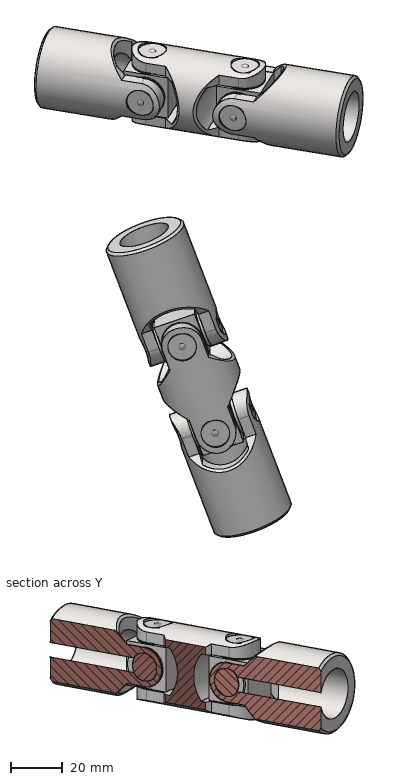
import cadquery as cq
import math

total_length = 124.0
body_diameter = 32.0
joint_offset = 18.8
ear_width = 16.0
ear_gap = 19.0
swing_diameter = 30.0
bore_diameter = 20.0
end_chamfer = 1.0
block_width = 16.6
block_depth = 18.0
boss_diameter = 15.5
pin_diameter = 11.0
pin_length = 30.0
dome_diameter = 2.6
dome_height = 0.2

half_length = total_length / 2
body_radius = body_diameter / 2
ear_radius = ear_width / 2
dome_radius = dome_diameter / 2
dome_sphere_radius = (dome_radius ** 2 + dome_height ** 2) / (2 * dome_height)
shoulder_run = body_radius - ear_radius


def x_cylinder(diameter, x_start, x_end):
    """Cylinder on the X axis between two X positions."""
    return cq.Workplane("YZ").workplane(offset=x_start).circle(diameter / 2).extrude(x_end - x_start)


def y_cylinder(diameter, length, x_centre):
    """Cylinder along Y, centred on the X axis at the given X position."""
    return cq.Workplane("XZ").center(x_centre, 0).circle(diameter / 2).extrude(length / 2, both=True)


def turn_to_z(shape):
    """Quarter turn about X, so that features along Y point along Z."""
    return shape.rotate((0, 0, 0), (1, 0, 0), 90)


def fork_slot(x_centre):
    """Gap between two ears that stand in +Y and -Y, with its round bottom."""
    swing = turn_to_z(y_cylinder(swing_diameter, body_diameter, x_centre))
    gap = cq.Workplane("XY").box(total_length, ear_gap, body_diameter).translate((x_centre, 0, 0))
    return swing.intersect(gap)


def fork_cutter(x_centre):
    """Slot and pin holes of a fork whose ears stand in +Y and -Y."""
    return fork_slot(x_centre).union(y_cylinder(pin_diameter, body_diameter, x_centre))


def make_end_yoke(turn_about_z):
    """Bored hub with a fork whose ears stand in +Y and -Y, built on the -X side and then turned."""
    root_x = -joint_offset - ear_radius
    shoulder_x = root_x - shoulder_run
    hub = x_cylinder(body_diameter, -half_length, -joint_offset + ear_radius)
    hub = hub.faces("<X").chamfer(end_chamfer)
    outline = (
        cq.Workplane("XZ")
        .moveTo(-half_length, body_radius)
        .lineTo(shoulder_x, body_radius)
        .lineTo(root_x, ear_radius)
        .lineTo(-joint_offset, ear_radius)
        .threePointArc((-joint_offset + ear_radius, 0), (-joint_offset, -ear_radius))
        .lineTo(root_x, -ear_radius)
        .lineTo(shoulder_x, -body_radius)
        .lineTo(-half_length, -body_radius)
        .close()
        .extrude(body_radius, both=True)
    )
    bore = x_cylinder(bore_diameter, -half_length, -joint_offset)
    yoke = hub.intersect(outline).cut(fork_cutter(-joint_offset)).cut(bore)
    return yoke.rotate((0, 0, 0), (0, 0, 1), turn_about_z)


def make_middle_yoke():
    """Solid centre piece with a fork at each end, ears standing in +Z and -Z."""
    tip_x = joint_offset + ear_radius
    root_x = joint_offset - ear_radius
    shoulder_x = root_x - shoulder_run
    outline = (
        cq.Workplane("XY")
        .moveTo(-shoulder_x, body_radius)
        .lineTo(shoulder_x, body_radius)
        .lineTo(root_x, ear_radius)
        .lineTo(joint_offset, ear_radius)
        .threePointArc((tip_x, 0), (joint_offset, -ear_radius))
        .lineTo(root_x, -ear_radius)
        .lineTo(shoulder_x, -body_radius)
        .lineTo(-shoulder_x, -body_radius)
        .lineTo(-root_x, -ear_radius)
        .lineTo(-joint_offset, -ear_radius)
        .threePointArc((-tip_x, 0), (-joint_offset, ear_radius))
        .lineTo(-root_x, ear_radius)
        .close()
        .extrude(body_radius, both=True)
    )
    yoke = x_cylinder(body_diameter, -tip_x, tip_x).intersect(outline)
    for x_centre in (-joint_offset, joint_offset):
        yoke = yoke.cut(turn_to_z(fork_cutter(x_centre)))
    return yoke


def make_dome():
    """Shallow spherical cap on the +Y end of a pin that lies on the Y axis."""
    pin_end = pin_length / 2
    sphere_centre = pin_end + dome_height - dome_sphere_radius
    start_angle = math.asin((pin_end - sphere_centre) / dome_sphere_radius)
    mid_angle = (start_angle + math.pi / 2) / 2
    mid_point = (
        dome_sphere_radius * math.cos(mid_angle),
        sphere_centre + dome_sphere_radius * math.sin(mid_angle),
    )
    return (
        cq.Workplane("XY")
        .moveTo(0, pin_end)
        .lineTo(dome_radius, pin_end)
        .threePointArc(mid_point, (0, pin_end + dome_height))
        .close()
        .revolve(360, (0, 0, 0), (0, 1, 0))
    )


def make_trunnion(x_centre):
    """Pin along Y with a spacer boss to the ears and a small dome on each end."""
    pin = y_cylinder(pin_diameter, pin_length, x_centre)
    boss = y_cylinder(boss_diameter, ear_gap, x_centre)
    dome = make_dome().translate((x_centre, 0, 0))
    return pin.union(boss).union(dome).union(dome.mirror("XZ"))


def make_cross(x_centre):
    """Cross block with one trunnion along Y and one along Z."""
    block = cq.Workplane("XY").box(block_depth, block_width, block_depth).translate((x_centre, 0, 0))
    trunnion = make_trunnion(x_centre)
    return block.union(trunnion).union(turn_to_z(trunnion))


end_yokes = [make_end_yoke(turn_about_z) for turn_about_z in (0, 180)]
middle_yoke = make_middle_yoke()
crosses = [make_cross(x_centre) for x_centre in (-joint_offset, joint_offset)]

result = cq.Compound.makeCompound([
    *[end_yoke.solids().val() for end_yoke in end_yokes],
    middle_yoke.solids().val(),
    *[cross.solids().val() for cross in crosses],
])